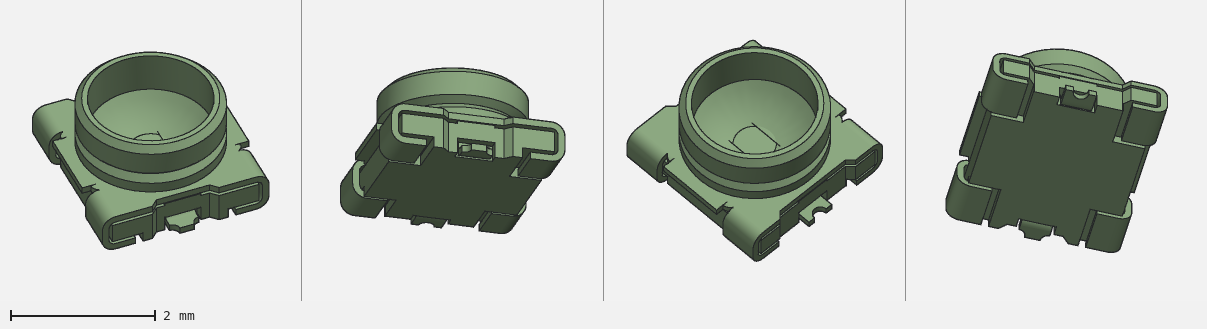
import cadquery as cq
import math


body_half = 1.25
sheet = 0.10
bend_outer = 0.20
bend_inner = bend_outer - sheet
plate_top = 0.60
plate_bottom = plate_top - sheet

side_notch_depth = 0.10
left_notch_half = 0.73
right_notch_half = 0.50

ring_outer = 1.05
ring_inner = 0.875
ring_top = 1.395
ring_edge = 0.095
groove_bottom = 0.76

middle_tab_half = 0.525
foot_inner_x = 0.65
foot_tip_y = 0.75
bend_start_y = body_half - bend_outer
neck_radius = 0.15
neck_y = 1.12

insulator_half_y = 1.10
insulator_top = 0.45
foot_pocket_x = 0.60
foot_pocket_y = 0.64
foot_pocket_height = 0.15
rib_half = 0.27
rib_top = 0.485
window_height = 0.225
dish_edge = 0.776
dish_floor = 0.465
dish_floor_radius = 0.30
dish_radius = 1.26

contact_half_x = 1.30
contact_half_y = 0.22
leg_face_x = 1.017
notch_radius = 0.11


def side_outline(half_y):
    """Plan outline, half_y deep each way, with the recesses in both X sides."""
    recess_x = body_half - side_notch_depth
    left_inner = left_notch_half - side_notch_depth
    right_inner = right_notch_half - side_notch_depth
    return cq.Workplane("XY").polyline([
        (-body_half, -half_y),
        (body_half, -half_y),
        (body_half, -right_notch_half),
        (recess_x, -right_inner),
        (recess_x, right_inner),
        (body_half, right_notch_half),
        (body_half, half_y),
        (-body_half, half_y),
        (-body_half, left_notch_half),
        (-recess_x, left_inner),
        (-recess_x, -left_inner),
        (-body_half, -left_notch_half),
    ]).close()


def box(x_range, y_range, z_range):
    """Axis-aligned box between the given limits."""
    (x0, x1), (y0, y1), (z0, z1) = x_range, y_range, z_range
    return cq.Workplane("XY").box(x1 - x0, y1 - y0, z1 - z0, centered=False).translate((x0, y0, z0))


def all_corners(solid):
    """Copies of a +X +Y solid in all four corners."""
    pair = solid.union(solid.mirror("YZ"))
    return pair.union(pair.mirror("XZ"))


def curled_strip(x_start, x_end):
    """C-shaped sheet strip on the +Y side, from the plate down and back under the insulator."""
    diagonal = math.sqrt(0.5)
    inner_y = body_half - sheet
    upper_z = plate_top - bend_outer
    lower_z = bend_outer

    def on_bend(radius, center_z, direction):
        return (bend_start_y + radius * diagonal, center_z + direction * radius * diagonal)

    return (
        cq.Workplane("YZ", origin=(x_start, 0, 0))
        .moveTo(bend_start_y, plate_top)
        .threePointArc(on_bend(bend_outer, upper_z, 1), (body_half, upper_z))
        .lineTo(body_half, lower_z)
        .threePointArc(on_bend(bend_outer, lower_z, -1), (bend_start_y, 0))
        .lineTo(foot_tip_y, 0)
        .lineTo(foot_tip_y, sheet)
        .lineTo(bend_start_y, sheet)
        .threePointArc(on_bend(bend_inner, lower_z, -1), (inner_y, lower_z))
        .lineTo(inner_y, upper_z)
        .threePointArc(on_bend(bend_inner, upper_z, 1), (bend_start_y, plate_bottom))
        .close()
        .extrude(x_end - x_start)
    )


def neck():
    """Rounded start of the bend left between a middle tab and a foot."""
    planform = (
        cq.Workplane("XY", origin=(0, 0, plate_bottom))
        .moveTo(middle_tab_half, bend_start_y)
        .lineTo(foot_inner_x, bend_start_y)
        .radiusArc((middle_tab_half, neck_y), -neck_radius)
        .close()
        .extrude(sheet)
    )
    return curled_strip(middle_tab_half, foot_inner_x).intersect(planform)


def make_shell():
    """Plate with front and back tabs, four curled feet and the grooved ring."""
    plate = side_outline(bend_start_y).extrude(sheet).translate((0, 0, plate_bottom))
    tabs = box(
        (-middle_tab_half, middle_tab_half), (-body_half, body_half), (plate_bottom, plate_top)
    )
    feet = all_corners(curled_strip(foot_inner_x, body_half))
    necks = all_corners(neck())

    waist_radius = ring_outer - ring_edge
    groove_middle = groove_bottom + ring_edge
    groove_top = groove_middle + ring_edge
    ring = (
        cq.Workplane("XZ")
        .polyline([
            (0, plate_top),
            (ring_outer, plate_top),
            (ring_outer, groove_bottom),
            (waist_radius, groove_middle),
            (ring_outer, groove_top),
            (ring_outer, ring_top - ring_edge),
            (waist_radius, ring_top),
            (0, ring_top),
        ])
        .close()
        .revolve(360, (0, 0, 0), (0, 1, 0))
    )
    bore = cq.Workplane("XY").circle(ring_inner).extrude(ring_top)
    return plate.union(tabs).union(feet).union(necks).union(ring).cut(bore)


def make_contact_blank():
    """Hat-shaped strip: two tabs on the board, two legs, and a top flush with the dish floor."""
    strip_bottom = dish_floor - sheet
    tab_bend_x = leg_face_x + bend_inner
    top_bend_x = leg_face_x - bend_outer
    inner_face_x = leg_face_x - sheet
    diagonal = math.sqrt(0.5)
    tab_bend_z = bend_outer
    top_bend_z = dish_floor - bend_outer

    def on_tab_bend(radius):
        return (tab_bend_x - radius * diagonal, tab_bend_z - radius * diagonal)

    def on_top_bend(radius):
        return (top_bend_x + radius * diagonal, top_bend_z + radius * diagonal)

    half = (
        cq.Workplane("XZ", origin=(0, contact_half_y, 0))
        .moveTo(0, dish_floor)
        .lineTo(top_bend_x, dish_floor)
        .threePointArc(on_top_bend(bend_outer), (leg_face_x, top_bend_z))
        .lineTo(leg_face_x, tab_bend_z)
        .threePointArc(on_tab_bend(bend_inner), (tab_bend_x, sheet))
        .lineTo(contact_half_x, sheet)
        .lineTo(contact_half_x, 0)
        .lineTo(tab_bend_x, 0)
        .threePointArc(on_tab_bend(bend_outer), (inner_face_x, tab_bend_z))
        .lineTo(inner_face_x, top_bend_z)
        .threePointArc(on_top_bend(bend_inner), (top_bend_x, strip_bottom))
        .lineTo(0, strip_bottom)
        .close()
        .extrude(2 * contact_half_y)
    )
    return half.union(half.mirror("YZ"))


def make_contact(blank):
    """Contact blank with the carrier cut-off notches in its two ends."""
    notch_centers = [
        (-contact_half_x, 0),
        (contact_half_x, -contact_half_y),
        (contact_half_x, contact_half_y),
    ]
    notches = cq.Workplane("XY").pushPoints(notch_centers).circle(notch_radius).extrude(sheet)
    return blank.cut(notches)


def make_dish():
    """Space above the spherical dish inside the boss."""
    return (
        cq.Workplane("XZ")
        .moveTo(0, dish_floor)
        .lineTo(dish_floor_radius, dish_floor)
        .radiusArc((ring_inner, dish_edge), -dish_radius)
        .lineTo(ring_inner, ring_top)
        .lineTo(0, ring_top)
        .close()
        .revolve(360, (0, 0, 0), (0, 1, 0))
    )


def make_insulator(blank):
    """Block, rib and dished boss, with foot pockets, end windows and the contact channel."""
    block = side_outline(insulator_half_y).extrude(insulator_top)
    rib_end = body_half - side_notch_depth
    rib = box((-rib_end, rib_end), (-rib_half, rib_half), (0, rib_top))
    boss = cq.Workplane("XY").circle(ring_inner).extrude(dish_edge)
    foot_pocket = box(
        (foot_pocket_x, body_half), (foot_pocket_y, insulator_half_y), (0, foot_pocket_height)
    )
    window = box((leg_face_x, body_half), (-rib_half, rib_half), (0, window_height))
    return (
        block.union(rib)
        .union(boss)
        .cut(make_dish())
        .cut(all_corners(foot_pocket))
        .cut(window)
        .cut(window.mirror("YZ"))
        .cut(blank)
    )


shell = make_shell()
contact_blank = make_contact_blank()
contact = make_contact(contact_blank)
insulator = make_insulator(contact_blank)

result = cq.Compound.makeCompound([body.solids().val() for body in (shell, insulator, contact)])